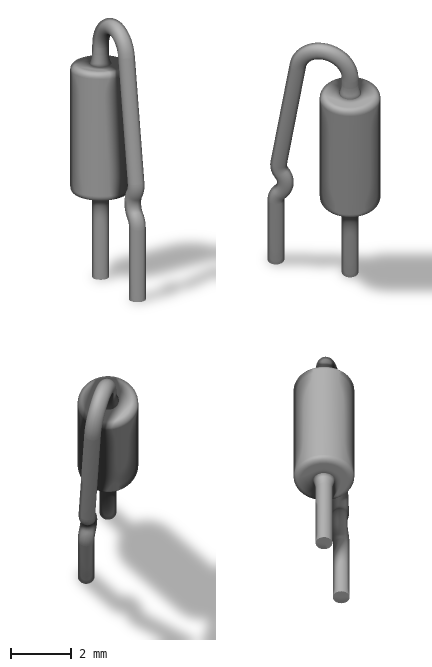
import cadquery as cq
import math

body_diameter = 2.0
body_length = 4.5
rim_radius = 0.2

wire_diameter = 0.55
wire_radius = wire_diameter / 2
lead_pitch = 2.54
lower_lead_length = 2.96
body_bottom = lower_lead_length
body_top = body_bottom + body_length

flare_height = 0.37
flare_base_radius = 0.36

riser_length = 0.635
top_bend_radius = 0.9
outer_kink_radius = 0.5
middle_kink_radius = 0.6
leg_length = 2.5
lower_kink_angle = math.radians(45)
upper_kink_angle = math.radians(38)


def make_body():
    cylinder = cq.Workplane("XY").workplane(offset=body_bottom).circle(body_diameter / 2).extrude(body_length)
    return cylinder.edges("%CIRCLE").fillet(rim_radius)


def make_flare(base_z, direction):
    """Foot on a body face; direction is +1 for a lead going up and -1 for one going down."""
    end_z = base_z + direction * flare_height
    flare_spread = flare_base_radius - wire_radius
    arc_radius = (flare_height**2 + flare_spread**2) / (2 * flare_spread)
    half_sweep = math.asin(flare_height / arc_radius) / 2
    middle_x = wire_radius + arc_radius * (1 - math.cos(half_sweep))
    middle_z = end_z - direction * arc_radius * math.sin(half_sweep)
    return (
        cq.Workplane("XZ")
        .moveTo(0, base_z)
        .lineTo(flare_base_radius, base_z)
        .threePointArc((middle_x, middle_z), (wire_radius, end_z))
        .lineTo(0, end_z)
        .close()
        .revolve(360, (0, 0, 0), (0, 1, 0))
    )


def make_lower_lead():
    wire = cq.Workplane("XY").circle(wire_radius).extrude(lower_lead_length)
    return wire.union(make_flare(body_bottom, -1))


def point_on_arc(center, radius, angle):
    """Point in the XZ plane; the angle is in radians from +X towards +Z."""
    return (center[0] + radius * math.cos(angle), center[1] + radius * math.sin(angle))


def add_bend(path, center, radius, start, end):
    """Continue the path along an arc from the start angle to the end angle."""
    middle_point = point_on_arc(center, radius, (start + end) / 2)
    end_point = point_on_arc(center, radius, end)
    return path.threePointArc(middle_point, end_point)


def make_return_lead():
    top_bend_center = (top_bend_radius, body_top + riser_length)

    low_center = (lead_pitch - outer_kink_radius, leg_length)
    low_joint = point_on_arc(low_center, outer_kink_radius, lower_kink_angle)
    middle_center = point_on_arc(low_joint, middle_kink_radius, lower_kink_angle)
    middle_start = math.pi + lower_kink_angle
    middle_end = math.pi - upper_kink_angle
    high_joint = point_on_arc(middle_center, middle_kink_radius, middle_end)
    high_center = point_on_arc(high_joint, outer_kink_radius, middle_end)

    center_dx = top_bend_center[0] - high_center[0]
    center_dz = top_bend_center[1] - high_center[1]
    center_distance = math.hypot(center_dx, center_dz)
    radius_difference = outer_kink_radius - top_bend_radius
    lean_angle = math.atan2(center_dz, center_dx) - math.acos(radius_difference / center_distance)

    path = cq.Workplane("XZ").moveTo(lead_pitch, 0).lineTo(lead_pitch, leg_length)
    path = add_bend(path, low_center, outer_kink_radius, 0, lower_kink_angle)
    path = add_bend(path, middle_center, middle_kink_radius, middle_start, middle_end)
    path = add_bend(path, high_center, outer_kink_radius, -upper_kink_angle, lean_angle)
    path = path.lineTo(*point_on_arc(top_bend_center, top_bend_radius, lean_angle))
    path = add_bend(path, top_bend_center, top_bend_radius, lean_angle, math.pi)
    path = path.lineTo(0, body_top)

    wire = cq.Workplane("XY").center(lead_pitch, 0).circle(wire_radius).sweep(path)
    return wire.union(make_flare(body_top, 1))


body = make_body().solids()
lower_lead = make_lower_lead().solids()
return_lead = make_return_lead().solids()

result = cq.Compound.makeCompound([body.val(), lower_lead.val(), return_lead.val()])